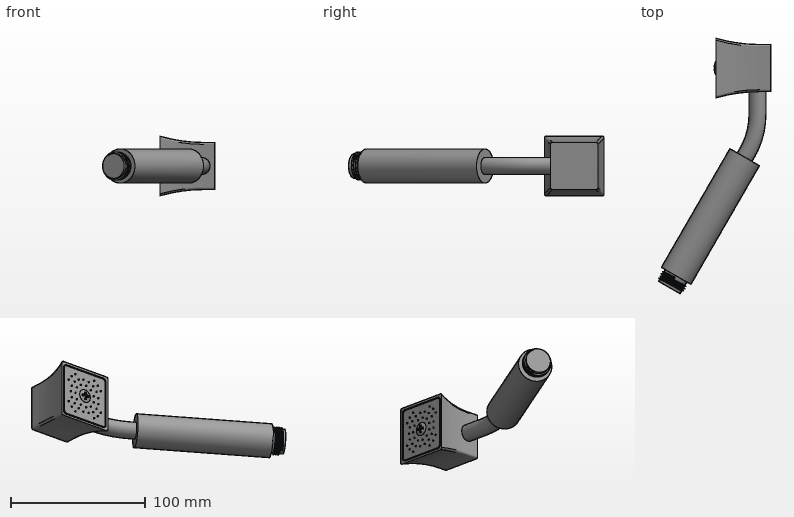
import cadquery as cq
import math

face_side = 44.4
back_side = 35.1
head_depth = 41.0
flare_depth = 32.5
edge_radius = 1.5

groove_inset = 1.9
groove_width = 0.5
groove_depth = 0.5
groove_corner_radius = 2.8

hole_diameter = 1.0
hole_depth = 1.0
inner_ring_radius = 9.0
inner_ring_count = 11
outer_ring_radius = 13.3
outer_ring_count = 17
corner_ring_radius = 17.8
corner_angles = (30, 45, 60)

screw_radius = 5.1
screw_height = 1.3
cross_length = 5.7
cross_width = 1.3
cross_depth = 1.1

neck_diameter = 12.7
neck_x = 31.0
bend_start_y = -34.5
bend_radius = 56.5
bend_angle = 30
neck_tail = 3.8

handle_diameter = 25.5
handle_length = 101.7
stub_diameter = 18.5
stub_length = 10.0
thread_diameter = 20.9
thread_pitch = 1.82
thread_start = 1.9
thread_length = 6.3
thread_base = 1.5
thread_overlap = 0.4


def flared_slab(plane_name):
    """Head profile with two concave flanks, extruded wide enough to span the other direction."""
    face_half = face_side / 2
    back_half = back_side / 2
    flare = face_half - back_half
    flank_radius = (flare_depth**2 + flare**2) / (2 * flare)
    mid_x = flare_depth / 2
    mid_half = back_half + flank_radius - math.sqrt(flank_radius**2 - (flare_depth - mid_x)**2)
    return (
        cq.Workplane(plane_name)
        .moveTo(0, -face_half)
        .threePointArc((mid_x, -mid_half), (flare_depth, -back_half))
        .lineTo(head_depth, -back_half)
        .lineTo(head_depth, back_half)
        .lineTo(flare_depth, back_half)
        .threePointArc((mid_x, mid_half), (0, face_half))
        .close()
        .extrude(face_side / 2, both=True)
    )


def make_head():
    """Flared block with its four front-to-back corners rounded."""
    block = flared_slab("XY").intersect(flared_slab("XZ"))
    return block.edges("not(|Y or |Z)").fillet(edge_radius)


def rounded_square(side, corner_radius, depth):
    """Rounded square block going into the head from the spray face."""
    return cq.Workplane("YZ").rect(side, side).extrude(depth).edges("|X").fillet(corner_radius)


def make_groove():
    """Square ring cut into the spray face."""
    outer_side = face_side - 2 * groove_inset
    inner_side = outer_side - 2 * groove_width
    outer = rounded_square(outer_side, groove_corner_radius, groove_depth)
    inner = rounded_square(inner_side, groove_corner_radius - groove_width, groove_depth)
    return outer.cut(inner)


def make_spray_holes():
    """Shallow blind holes; both full rings start on the +Y side."""
    holes = []
    for radius, count in ((inner_ring_radius, inner_ring_count), (outer_ring_radius, outer_ring_count)):
        holes += [(radius, 360 * i / count) for i in range(count)]
    for quadrant in range(4):
        holes += [(corner_ring_radius, 90 * quadrant + angle) for angle in corner_angles]
    centres = [
        (radius * math.cos(math.radians(angle)), radius * math.sin(math.radians(angle)))
        for radius, angle in holes
    ]
    return cq.Workplane("YZ").pushPoints(centres).circle(hole_diameter / 2).extrude(hole_depth)


def make_screw():
    """Spherical cap standing out of the spray face."""
    dome_radius = (screw_radius**2 + screw_height**2) / (2 * screw_height)
    sphere = cq.Workplane("XY").sphere(dome_radius).translate((dome_radius - screw_height, 0, 0))
    rim = cq.Workplane("YZ").circle(screw_radius).extrude(-screw_height)
    return sphere.intersect(rim)


def make_cross():
    """Cross recess sunk from the top of the screw dome."""
    top = cq.Workplane("YZ", origin=(-screw_height, 0, 0))
    arm = top.rect(cross_length, cross_width).extrude(cross_depth)
    return arm.union(top.rect(cross_width, cross_length).extrude(cross_depth))


def make_neck(handle_plane):
    """Round bar: straight out of the head, through the bend, then straight into the handle."""
    straight = (
        cq.Workplane("XZ", origin=(neck_x, 0, 0)).circle(neck_diameter / 2).extrude(-bend_start_y)
    )
    bend = (
        cq.Workplane("XZ", origin=(neck_x, bend_start_y, 0))
        .circle(neck_diameter / 2)
        .revolve(bend_angle, (-bend_radius, 1.9, 0), (-bend_radius, -1.9, 0))
    )
    tail = cq.Workplane(handle_plane).circle(neck_diameter / 2).extrude(-neck_tail)
    return straight.union(bend).union(tail)


def make_thread():
    """Helical ridge of triangular section around the Z axis, starting at Z = 0."""
    root_radius = stub_diameter / 2 - thread_overlap
    crest_radius = thread_diameter / 2
    helix = cq.Wire.makeHelix(thread_pitch, thread_length, root_radius)
    return (
        cq.Workplane("XZ")
        .moveTo(root_radius, -thread_base / 2)
        .lineTo(crest_radius, 0)
        .lineTo(root_radius, thread_base / 2)
        .close()
        .sweep(cq.Workplane(helix), isFrenet=True)
    )


def make_handle(handle_plane):
    """Plain cylinder followed by the threaded stub."""
    grip = cq.Workplane("XY").circle(handle_diameter / 2).extrude(handle_length)
    stub = cq.Workplane("XY", origin=(0, 0, handle_length)).circle(stub_diameter / 2).extrude(stub_length)
    thread = make_thread().translate((0, 0, handle_length + thread_start))
    handle = grip.union(stub.union(thread))
    return cq.Workplane(handle.val().moved(cq.Location(handle_plane)))


tilt = math.radians(bend_angle)
handle_axis = cq.Vector(-math.sin(tilt), -math.cos(tilt), 0)
bend_end = cq.Vector(
    neck_x - bend_radius * (1 - math.cos(tilt)),
    bend_start_y - bend_radius * math.sin(tilt),
    0,
)
handle_plane = cq.Plane(bend_end + handle_axis * neck_tail, xDir=(0, 0, 1), normal=handle_axis)

head = make_head().cut(make_groove()).cut(make_spray_holes())
head = head.union(make_screw()).cut(make_cross())
result = head.union(make_neck(handle_plane)).union(make_handle(handle_plane))